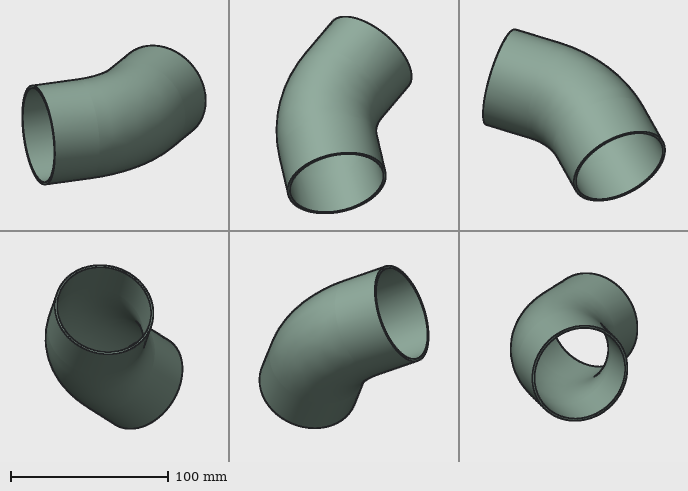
import cadquery as cq
import math

overall_length = 118.6
outer_diameter = 63.5
inner_diameter = 60.5
straight_length = 30.0
bend_angle = 45.0

sine = math.sin(math.radians(bend_angle))
cosine = math.cos(math.radians(bend_angle))
bend_radius = (
    overall_length - straight_length * (1 + cosine)
) / sine - outer_diameter / 2


def pipe_ring(workplane):
    """Draw the annular pipe section centred on a workplane."""
    return workplane.circle(outer_diameter / 2).circle(inner_diameter / 2)


inlet_plane = cq.Plane(origin=(0, 0, 0), xDir=(1, 0, 0), normal=(0, 1, 0))
inlet = pipe_ring(cq.Workplane(inlet_plane)).extrude(straight_length)

bend_plane = cq.Plane(origin=(0, straight_length, 0), xDir=(1, 0, 0), normal=(0, 1, 0))
bend = pipe_ring(cq.Workplane(bend_plane)).revolve(
    bend_angle, (-bend_radius, 1.2, 0), (-bend_radius, 0, 0)
)

outlet_plane = cq.Plane(
    origin=(-bend_radius * (1 - cosine), straight_length + bend_radius * sine, 0),
    xDir=(cosine, sine, 0),
    normal=(-sine, cosine, 0),
)
outlet = pipe_ring(cq.Workplane(outlet_plane)).extrude(straight_length)

result = inlet.union(bend).union(outlet)